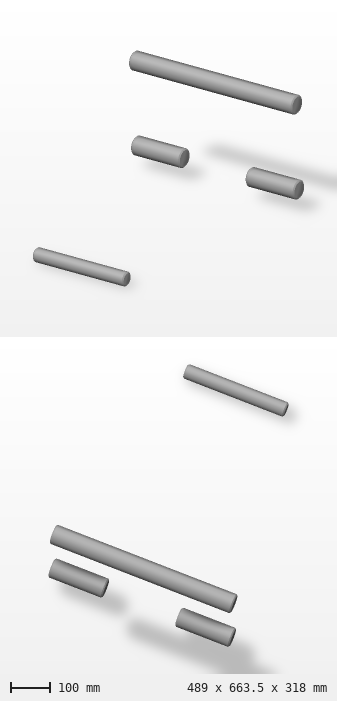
import cadquery as cq

DEPTH = 663.5
HEIGHT = 318.0

LARGE_DIAMETER = 51.0
SMALL_DIAMETER = 38.5
LONG_LENGTH = 489.0
SHORT_LENGTH = 146.0
SMALL_LENGTH = 272.0
END_CHAMFER = 3.0

LONG_BAR_RISE = 237.5
LONG_BAR_FORWARD = 9.0

SHORT_Y = DEPTH / 2 - LARGE_DIAMETER / 2
LONG_Y = SHORT_Y - LONG_BAR_FORWARD
LONG_Z = HEIGHT / 2 - LARGE_DIAMETER / 2
SHORT_Z = LONG_Z - LONG_BAR_RISE
SMALL_Y = -DEPTH / 2 + SMALL_DIAMETER / 2
SMALL_Z = -HEIGHT / 2 + SMALL_DIAMETER / 2
SHORT_X = (LONG_LENGTH - SHORT_LENGTH) / 2


def chamfered_bar(diameter, length, center):
    """Round bar along X with both end edges chamfered."""
    bar = cq.Workplane("YZ", origin=(-length / 2, 0, 0)).circle(diameter / 2).extrude(length)
    return bar.faces("<X or >X").edges().chamfer(END_CHAMFER).translate(center)


def make_long_bar():
    return chamfered_bar(LARGE_DIAMETER, LONG_LENGTH, (0, LONG_Y, LONG_Z))


def make_short_bar(side):
    """Short bar at the left (side = -1) or right (side = 1) end."""
    return chamfered_bar(LARGE_DIAMETER, SHORT_LENGTH, (side * SHORT_X, SHORT_Y, SHORT_Z))


def make_small_bar():
    return chamfered_bar(SMALL_DIAMETER, SMALL_LENGTH, (0, SMALL_Y, SMALL_Z))


long_bar = make_long_bar()
short_bars = [make_short_bar(side) for side in (-1, 1)]
small_bar = make_small_bar()

result = cq.Compound.makeCompound(
    [long_bar.val(), *[bar.val() for bar in short_bars], small_bar.val()]
)